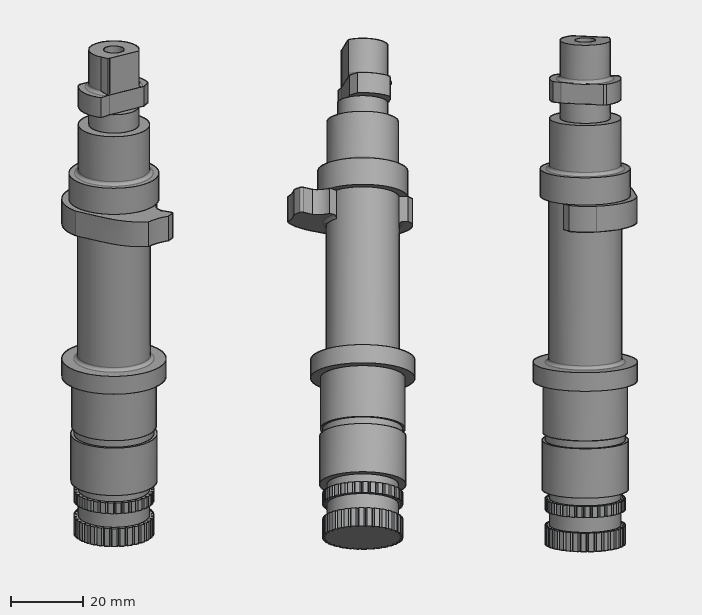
import cadquery as cq
import math

SHAFT_TOP = 142.6
LUG_TOP = 131.8
LUG_BOTTOM = 125.9
NECK_BOTTOM = 120.5
COLLAR_TOP = 106.2
LEVER_TOP = 98.5
LEVER_BOTTOM = 91.3
FLANGE_TOP = 51.5
FLANGE_BOTTOM = 46.2
GROOVE_TOP = 31.5
SLEEVE_TOP = 29.4
SLEEVE_BOTTOM = 15.4
NARROW_BAND_TOP = 12.8
NARROW_BAND_BOTTOM = 9.7
END_BAND_TOP = 5.3

TIP_DIA = 14.0
UPPER_SEAT_DIA = 19.8
COLLAR_DIA = 25.0
MAIN_DIA = 20.3
FLANGE_DIA = 29.0
LOWER_SEAT_DIA = 23.5
GROOVE_DIA = 22.2
CORE_DIA = 19.8
SLEEVE_DIA = 24.0

FILLET = 1.0

TIP_HOLE_DIA = 5.7
TIP_HOLE_DEPTH = 3.0

FLAT_ANGLE = -27.0
FLAT_OFFSET = 5.0
TIP_HEEL_START = (-0.4, -7.0)
TIP_HEEL_CORNER = (2.3, -7.4)

LUG_DIA = 19.8
LUG_CLIP = [
    (2.1, -6.8),
    (7.4, 3.7),
    (6.8, 10.0),
    (-1.7, 10.0),
    (-3.7, 7.8),
    (-9.1, -2.9),
    (-9.3, -10.0),
    (1.0, -10.0),
]

OVERALL_WIDTH = 34.2

PLATE_START_ANGLE = 178.3
PLATE_END_ANGLE = 249.8
ARM_SWEEP = [(2.9, -14.5), (8.8, -14.8)]
ARM_CORNER = (17.0, -12.1)
ARM_NOSE = (18.0, -8.7)
ARM_REACH = OVERALL_WIDTH - FLANGE_DIA / 2
ARM_END_LOWER = -5.5
ARM_BACK = -2.3
ARM_CORNER_RADIUS = 0.7
COVE_START = 15.8
COVE_MIDDLE = (13.7, -0.9)
COVE_END = (12.7, 1.4)
HEEL_INNER = (-9.3, 8.5)
HEEL_OUTER = (-11.5, 7.5)
HEEL_ROUND = (-13.5, 4.7)

TOOTH_COUNT = 32
TOOTH_TIP_DIA = 22.2
TOOTH_ROOT_DIA = 20.8
TOOTH_PITCH_ANGLE = 360.0 / TOOTH_COUNT
TOOTH_LAND_SHARE = 0.65


def cylinder(diameter, bottom, top):
    """A cylinder on the Z axis between two heights."""
    return cq.Workplane("XY").workplane(offset=bottom).circle(diameter / 2).extrude(top - bottom)


def polar(radius, degrees):
    """The point at a radius and an angle from +X."""
    angle = math.radians(degrees)
    return (radius * math.cos(angle), radius * math.sin(angle))


def root_fillet(diameter, height, side):
    """Concave fillet ring round a cylinder; side is 1 above a face and -1 below it."""
    radius = diameter / 2
    middle = FILLET * (1 - math.sqrt(0.5))
    return (
        cq.Workplane("XZ")
        .moveTo(radius - FILLET, height)
        .lineTo(radius + FILLET, height)
        .threePointArc((radius + middle, height + side * middle), (radius, height + side * FILLET))
        .lineTo(radius - FILLET, height + side * FILLET)
        .close()
        .revolve(360, (0, 0, 0), (0, 1, 0))
    )


def build_tip():
    """Upper tip with one flat, a straight heel beside the flat and a blind hole."""
    height = SHAFT_TOP - LUG_TOP
    base = cq.Workplane("XY").workplane(offset=LUG_TOP)
    heel = base.polyline([(0, 0), TIP_HEEL_START, TIP_HEEL_CORNER]).close().extrude(height)
    beyond_flat = (
        base.center(*polar(FLAT_OFFSET + TIP_DIA / 2, FLAT_ANGLE))
        .transformed(rotate=(0, 0, FLAT_ANGLE))
        .rect(TIP_DIA, 2 * TIP_DIA)
        .extrude(height)
    )
    tip = cylinder(TIP_DIA, LUG_TOP, SHAFT_TOP).union(root_fillet(TIP_DIA, LUG_TOP, 1)).union(heel)
    return tip.cut(beyond_flat).cut(cylinder(TIP_HOLE_DIA, SHAFT_TOP - TIP_HOLE_DEPTH, SHAFT_TOP))


def build_lug():
    """Round lug with two parallel flats whose ends are clipped at a steeper angle."""
    blank = (
        cq.Workplane("XY")
        .workplane(offset=LUG_BOTTOM)
        .polyline(LUG_CLIP)
        .close()
        .extrude(LUG_TOP - LUG_BOTTOM)
    )
    return cylinder(LUG_DIA, LUG_BOTTOM, LUG_TOP).intersect(blank)


def build_upper_spindle():
    """Stepped spindle above the lever: collar, seat, neck, lug and tip."""
    spindle = cylinder(COLLAR_DIA, LEVER_TOP, COLLAR_TOP)
    spindle = spindle.union(cylinder(UPPER_SEAT_DIA, COLLAR_TOP, NECK_BOTTOM))
    spindle = spindle.union(root_fillet(UPPER_SEAT_DIA, COLLAR_TOP, 1))
    spindle = spindle.union(cylinder(TIP_DIA, NECK_BOTTOM, LUG_BOTTOM))
    return spindle.union(build_lug()).union(build_tip())


def lever_plate(bottom, top):
    """Plate that wraps part of the way round the shaft and sweeps out into a blunt arm."""
    plate_radius = FLANGE_DIA / 2
    plate_start = polar(plate_radius, PLATE_START_ANGLE)
    plate_middle = polar(plate_radius, (PLATE_START_ANGLE + PLATE_END_ANGLE) / 2)
    plate_end = polar(plate_radius, PLATE_END_ANGLE)
    return (
        cq.Workplane("XY")
        .workplane(offset=bottom)
        .moveTo(*plate_start)
        .threePointArc(plate_middle, plate_end)
        .spline([*ARM_SWEEP, ARM_CORNER], includeCurrent=True)
        .threePointArc(ARM_NOSE, (ARM_REACH, ARM_END_LOWER))
        .lineTo(ARM_REACH, ARM_BACK - ARM_CORNER_RADIUS)
        .radiusArc((ARM_REACH - ARM_CORNER_RADIUS, ARM_BACK), -ARM_CORNER_RADIUS)
        .lineTo(COVE_START, ARM_BACK)
        .threePointArc(COVE_MIDDLE, COVE_END)
        .lineTo(0, 0)
        .lineTo(*HEEL_INNER)
        .lineTo(*HEEL_OUTER)
        .threePointArc(HEEL_ROUND, plate_start)
        .close()
        .extrude(top - bottom)
    )


def build_lever():
    """Lever clasped round the main shaft, with a fillet under the plate."""
    fillet = root_fillet(MAIN_DIA, LEVER_BOTTOM, -1)
    fillet = fillet.intersect(lever_plate(LEVER_BOTTOM - FILLET, LEVER_BOTTOM))
    lever = lever_plate(LEVER_BOTTOM, LEVER_TOP).union(fillet)
    return lever.cut(cylinder(MAIN_DIA, LEVER_BOTTOM - FILLET, LEVER_TOP))


def build_main_shaft():
    """Main shaft with its flange, lower seat and the groove diameter at its end."""
    shaft = cylinder(MAIN_DIA, FLANGE_TOP, LEVER_TOP)
    shaft = shaft.union(cylinder(FLANGE_DIA, FLANGE_BOTTOM, FLANGE_TOP))
    shaft = shaft.union(root_fillet(MAIN_DIA, FLANGE_TOP, 1))
    shaft = shaft.union(cylinder(LOWER_SEAT_DIA, GROOVE_TOP, FLANGE_BOTTOM))
    return shaft.union(cylinder(GROOVE_DIA, SLEEVE_TOP, GROOVE_TOP))


def toothed_band(bottom, top, first_tooth_angle):
    """Band of flat-topped teeth with V-shaped gaps between them."""
    half_land = TOOTH_PITCH_ANGLE * TOOTH_LAND_SHARE / 2
    outline = []
    for tooth in range(TOOTH_COUNT):
        middle = first_tooth_angle + tooth * TOOTH_PITCH_ANGLE
        outline.append(polar(TOOTH_TIP_DIA / 2, middle - half_land))
        outline.append(polar(TOOTH_TIP_DIA / 2, middle + half_land))
        outline.append(polar(TOOTH_ROOT_DIA / 2, middle + TOOTH_PITCH_ANGLE / 2))
    return cq.Workplane("XY").workplane(offset=bottom).polyline(outline).close().extrude(top - bottom)


def build_splined_end():
    """Plain sleeve above a core that carries two toothed bands."""
    end = cylinder(SLEEVE_DIA, SLEEVE_BOTTOM, SLEEVE_TOP)
    end = end.union(cylinder(CORE_DIA, 0, SLEEVE_BOTTOM))
    end = end.union(toothed_band(NARROW_BAND_BOTTOM, NARROW_BAND_TOP, 0))
    return end.union(toothed_band(0, END_BAND_TOP, TOOTH_PITCH_ANGLE / 2))


upper_spindle = build_upper_spindle()
lever = build_lever()
main_shaft = build_main_shaft()
splined_end = build_splined_end()

result = cq.Compound.makeCompound(
    [upper_spindle.val(), lever.val(), main_shaft.val(), splined_end.val()]
)